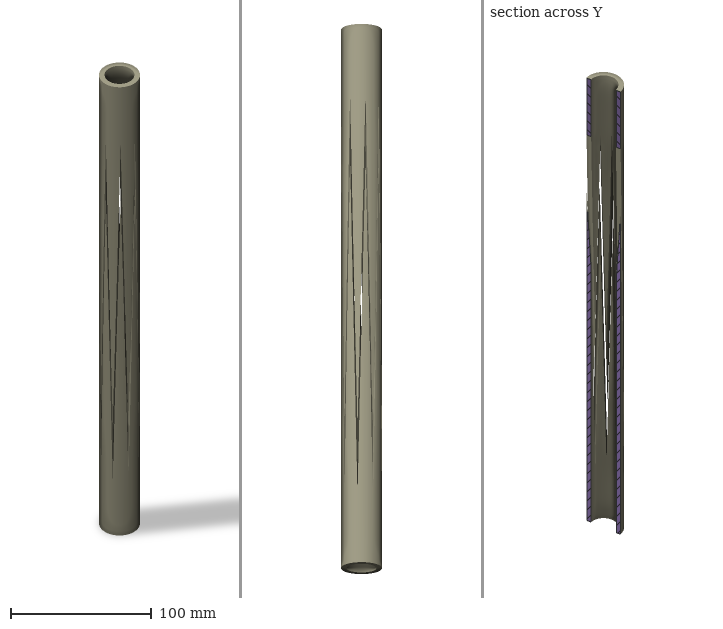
import cadquery as cq
import math

tube_length = 400.0
outer_diameter = 29.0
bore_diameter = 21.0
end_length = 50.0
tip_clearance = 50.0
notch_count = 8

outer_radius = outer_diameter / 2
notch_pitch_angle = 360 / notch_count
sleeve_length = tube_length - end_length - tip_clearance
notch_half_width = outer_radius * math.sin(math.radians(notch_pitch_angle / 2))


def make_notch(angle):
    """Flat-sided triangular cutter that runs outward from the axis and narrows downward."""
    outline = [
        (0, end_length),
        (notch_half_width, sleeve_length),
        (-notch_half_width, sleeve_length),
    ]
    notch = cq.Workplane("XZ").polyline(outline).close().extrude(outer_diameter)
    return notch.rotate((0, 0, 0), (0, 0, 1), angle)


def make_sleeve(first_notch_angle):
    """Sleeve standing on the XY plane with its teeth pointing up."""
    sleeve = cq.Workplane("XY").circle(outer_radius).circle(bore_diameter / 2).extrude(sleeve_length)
    for index in range(notch_count):
        sleeve = sleeve.cut(make_notch(first_notch_angle + index * notch_pitch_angle))
    return sleeve


def make_lower_sleeve():
    """Sleeve with its notches half a pitch away from those of the upper sleeve."""
    return make_sleeve(notch_pitch_angle / 2)


def make_upper_sleeve():
    """Sleeve turned end for end so that its teeth point down."""
    flipped = make_sleeve(0).rotate((0, 0, 0), (1, 0, 0), 180)
    return flipped.translate((0, 0, tube_length))


lower_sleeve = make_lower_sleeve()
upper_sleeve = make_upper_sleeve()

result = cq.Compound.makeCompound([*lower_sleeve.vals(), *upper_sleeve.vals()])